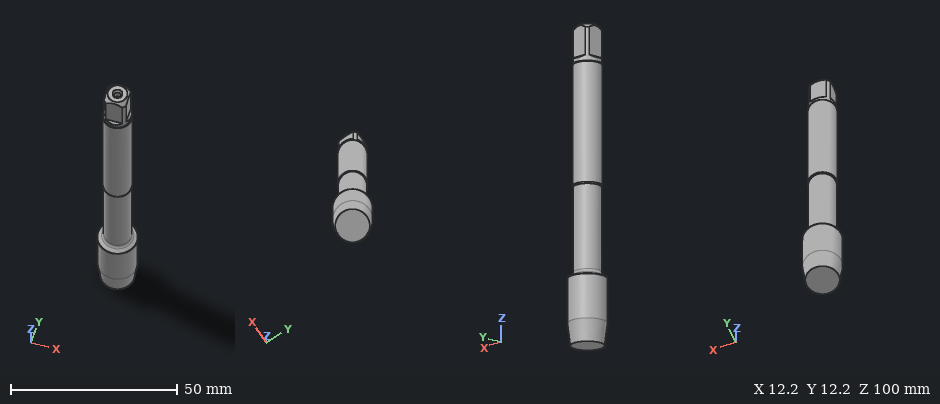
import cadquery as cq
import math

TOTAL_LENGTH = 100
SHANK_DIAMETER = 9
NECK_DIAMETER = 8.6
NECK_TOP = 49.6
NECK_CHAMFER = 0.5

DRIVE_DIAMETER = 8.7
DRIVE_BOTTOM = 88.1
DRIVE_CHAMFER = 0.3
ACROSS_FLATS = 7
FLAT_BOTTOM = 89.9
FLAT_RUNOUT_ANGLE = 35
END_FACE_DIAMETER = 6
END_CHAMFER_ANGLE = 45

CENTRE_HOLE_DIAMETER = 2
CENTRE_HOLE_DEPTH = 3
COUNTERSINK_DIAMETER = 3
COUNTERSINK_ANGLE = 60
DRILL_POINT_ANGLE = 120

HEAD_DIAMETER = 12.2
HEAD_TOP = 20.9
TIP_DIAMETER = 10.4
LEAD_LENGTH = 7.1

COLLAR_RIM_HEIGHT = 0.2
COLLAR_CONE_ANGLE = 35
NECK_FILLET_RADIUS = 1.3


def revolve_profile(points):
    """Revolve a closed profile of (radius, height) points about the Z axis."""
    return cq.Workplane("XZ").polyline(points).close().revolve(360, (0, 0), (0, 1))


def make_head():
    head_radius = HEAD_DIAMETER / 2
    return revolve_profile([
        (0, 0),
        (TIP_DIAMETER / 2, 0),
        (head_radius, LEAD_LENGTH),
        (head_radius, HEAD_TOP),
        (0, HEAD_TOP),
    ])


def make_shank_blank():
    collar_radius = HEAD_DIAMETER / 2
    neck_radius = NECK_DIAMETER / 2
    shank_radius = SHANK_DIAMETER / 2
    drive_radius = DRIVE_DIAMETER / 2
    end_radius = END_FACE_DIAMETER / 2
    end_chamfer_height = (drive_radius - end_radius) * math.tan(math.radians(END_CHAMFER_ANGLE))

    cone_angle = math.radians(COLLAR_CONE_ANGLE)
    fillet_turn = math.pi / 2 - cone_angle
    rim_top = HEAD_TOP + COLLAR_RIM_HEIGHT
    cone_end_radius = neck_radius + NECK_FILLET_RADIUS * (1 - math.cos(fillet_turn))
    cone_end_height = rim_top + (collar_radius - cone_end_radius) * math.tan(cone_angle)
    fillet_top = cone_end_height + NECK_FILLET_RADIUS * math.sin(fillet_turn)
    fillet_middle = (
        neck_radius + NECK_FILLET_RADIUS * (1 - math.cos(fillet_turn / 2)),
        fillet_top - NECK_FILLET_RADIUS * math.sin(fillet_turn / 2),
    )

    return (
        cq.Workplane("XZ")
        .moveTo(0, HEAD_TOP)
        .lineTo(collar_radius, HEAD_TOP)
        .lineTo(collar_radius, rim_top)
        .lineTo(cone_end_radius, cone_end_height)
        .threePointArc(fillet_middle, (neck_radius, fillet_top))
        .lineTo(neck_radius, NECK_TOP)
        .lineTo(shank_radius, NECK_TOP + NECK_CHAMFER)
        .lineTo(shank_radius, DRIVE_BOTTOM - DRIVE_CHAMFER)
        .lineTo(drive_radius, DRIVE_BOTTOM)
        .lineTo(drive_radius, TOTAL_LENGTH - end_chamfer_height)
        .lineTo(end_radius, TOTAL_LENGTH)
        .lineTo(0, TOTAL_LENGTH)
        .close()
        .revolve(360, (0, 0), (0, 1))
    )


def make_flat_cutter():
    """Block that cuts the +X drive flat, with a floor sloping down outwards."""
    block_width = SHANK_DIAMETER
    inner = ACROSS_FLATS / 2
    outer = SHANK_DIAMETER / 2
    floor_drop = (outer - inner) * math.tan(math.radians(FLAT_RUNOUT_ANGLE))
    return (
        cq.Workplane("XZ")
        .polyline([
            (inner, FLAT_BOTTOM),
            (outer, FLAT_BOTTOM - floor_drop),
            (outer, TOTAL_LENGTH),
            (inner, TOTAL_LENGTH),
        ])
        .close()
        .extrude(block_width / 2, both=True)
    )


def make_centre_hole():
    hole_radius = CENTRE_HOLE_DIAMETER / 2
    sink_radius = COUNTERSINK_DIAMETER / 2
    sink_depth = (sink_radius - hole_radius) / math.tan(math.radians(COUNTERSINK_ANGLE / 2))
    point_depth = hole_radius / math.tan(math.radians(DRILL_POINT_ANGLE / 2))
    hole_bottom = TOTAL_LENGTH - CENTRE_HOLE_DEPTH
    return revolve_profile([
        (0, TOTAL_LENGTH),
        (sink_radius, TOTAL_LENGTH),
        (hole_radius, TOTAL_LENGTH - sink_depth),
        (hole_radius, hole_bottom),
        (0, hole_bottom - point_depth),
    ])


def make_shank():
    shank = make_shank_blank()
    flat_cutter = make_flat_cutter()
    for angle in (0, 90, 180, 270):
        shank = shank.cut(flat_cutter.rotate((0, 0, 0), (0, 0, 1), angle))
    return shank.cut(make_centre_hole())


head = make_head()
shank = make_shank()

result = cq.Compound.makeCompound([head.val(), shank.val()])